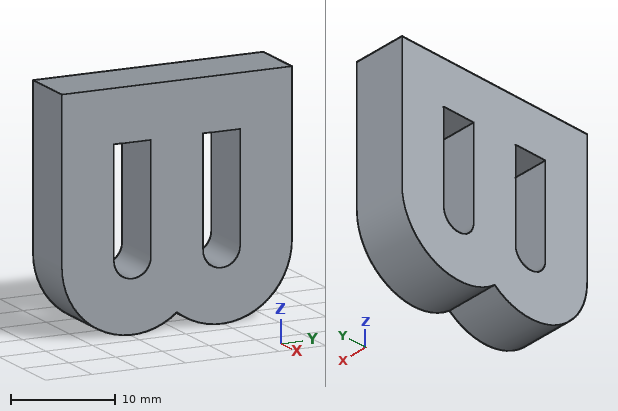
import cadquery as cq
import math


size = 24.65
thickness = 6.25
wall = 5.57

slot_width = (size - 3 * wall) / 2
slot_radius = slot_width / 2
lobe_radius = wall + slot_radius
lobe_offset = size / 2 - lobe_radius
top_z = size / 2
lobe_z = -size / 2 + lobe_radius
slot_top_z = top_z - wall

notch_z = lobe_z - math.sqrt(lobe_radius**2 - lobe_offset**2)


def extrude_centered(outline):
    """Extrude a closed YZ outline evenly about X = 0."""
    return outline.extrude(thickness / 2, both=True)


def make_body():
    """Plate with square top corners and two round lobes at the bottom."""
    lobe_bottom_z = lobe_z - lobe_radius
    outline = (
        cq.Workplane("YZ")
        .moveTo(-size / 2, top_z)
        .lineTo(-size / 2, lobe_z)
        .threePointArc((-lobe_offset, lobe_bottom_z), (0, notch_z))
        .threePointArc((lobe_offset, lobe_bottom_z), (size / 2, lobe_z))
        .lineTo(size / 2, top_z)
        .close()
    )
    return extrude_centered(outline)


def make_slot(center_y):
    """Through slot with a square top and a round bottom concentric with its lobe."""
    left_y = center_y - slot_radius
    right_y = center_y + slot_radius
    outline = (
        cq.Workplane("YZ")
        .moveTo(left_y, slot_top_z)
        .lineTo(left_y, lobe_z)
        .threePointArc((center_y, lobe_z - slot_radius), (right_y, lobe_z))
        .lineTo(right_y, slot_top_z)
        .close()
    )
    return extrude_centered(outline)


result = make_body()
for slot_center_y in (-lobe_offset, lobe_offset):
    result = result.cut(make_slot(slot_center_y))